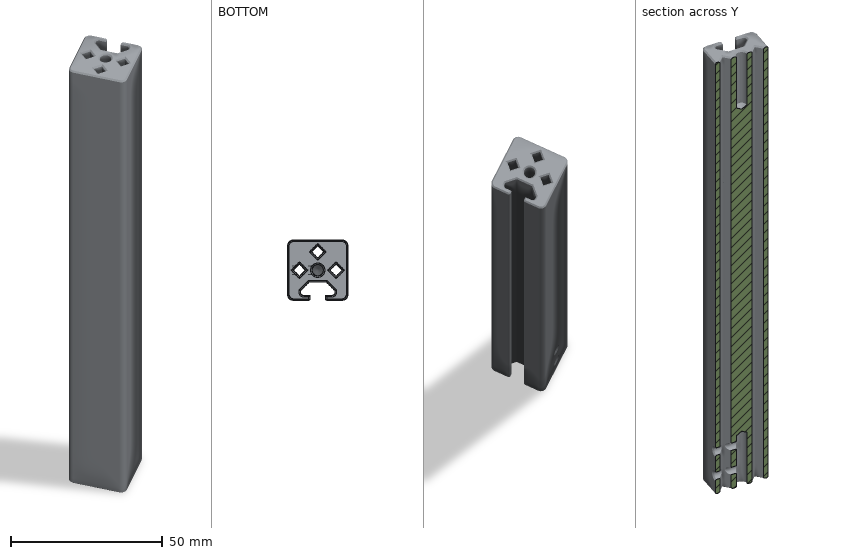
import cadquery as cq
import math

LENGTH = 178
SIDE = 20.0
CORNER_RADIUS = 2.0
EDGE_BREAK = 0.5

SLOT_OPENING = 5.0
LIP_THICKNESS = 1.6
LIP_ROUNDING = 0.7
CAVITY_WIDTH = 11.4
CAVITY_CORNER_RADIUS = 1.0
CAVITY_WALL_DEPTH = 3.2
SLOT_DEPTH = 6.0

DIAMOND_DIAGONAL = 4.1
DIAMOND_OFFSET = 6.0

CORE_DIAMETER = 3.7
CORE_DEPTH = 21.4
DRILL_POINT_ANGLE = 118

CROSS_HOLE_DIAMETER = 2.8
CROSS_HOLE_HEIGHTS = (7.5, 17.5)

HALF_SIDE = SIDE / 2


def bar():
    return cq.Workplane("XY").rect(SIDE, SIDE).extrude(LENGTH).edges("|Z").fillet(CORNER_RADIUS)


def round_edge_pair(solid, x, y, radius):
    """Fillet the two full-length edges at (-x, y) and (x, y)."""
    for edge_x in (-x, x):
        edge_middle = cq.selectors.NearestToPointSelector((edge_x, y, LENGTH / 2))
        solid = solid.edges(edge_middle).fillet(radius)
    return solid


def slot():
    """T-slot with a roof rounded into its walls and 45 degree flanks down to the floor."""
    half_opening = SLOT_OPENING / 2
    half_cavity = CAVITY_WIDTH / 2
    half_floor = half_cavity - (SLOT_DEPTH - CAVITY_WALL_DEPTH)
    roof = HALF_SIDE - LIP_THICKNESS
    right_side = [
        (half_opening, HALF_SIDE),
        (half_opening, roof),
        (half_cavity, roof),
        (half_cavity, HALF_SIDE - CAVITY_WALL_DEPTH),
        (half_floor, HALF_SIDE - SLOT_DEPTH),
    ]
    left_side = [(-x, y) for x, y in reversed(right_side)]
    solid = cq.Workplane("XY").polyline(right_side + left_side).close().extrude(LENGTH)
    return round_edge_pair(solid, half_cavity, roof, CAVITY_CORNER_RADIUS)


def diamond_channels():
    centers = [(-DIAMOND_OFFSET, 0), (DIAMOND_OFFSET, 0), (0, -DIAMOND_OFFSET)]
    return cq.Workplane("XY").pushPoints(centers).polygon(4, DIAMOND_DIAGONAL).extrude(LENGTH)


def core_hole():
    """Hole rising from the bottom end, closed by a drill point."""
    radius = CORE_DIAMETER / 2
    tip = CORE_DEPTH + radius / math.tan(math.radians(DRILL_POINT_ANGLE / 2))
    profile = [(0, 0), (radius, 0), (radius, CORE_DEPTH), (0, tip)]
    return cq.Workplane("XZ").polyline(profile).close().revolve(360, (0, 0), (0, 1))


def cross_hole(height):
    """Hole from the -X face to the bar axis, with a countersunk mouth."""
    radius = CROSS_HOLE_DIAMETER / 2
    profile = [
        (-HALF_SIDE, 0),
        (-HALF_SIDE, radius + EDGE_BREAK),
        (-HALF_SIDE + EDGE_BREAK, radius),
        (0, radius),
        (0, 0),
    ]
    hole = cq.Workplane("XZ").polyline(profile).close().revolve(360, (0, 0), (1, 0))
    return hole.translate((0, 0, height))


bottom_core = core_hole()
top_core = bottom_core.mirror("XY").translate((0, 0, LENGTH))

result = round_edge_pair(bar().cut(slot()), SLOT_OPENING / 2, HALF_SIDE, LIP_ROUNDING)
result = result.cut(diamond_channels()).cut(bottom_core).cut(top_core)
result = result.faces("<Z or >Z").chamfer(EDGE_BREAK)
for height in CROSS_HOLE_HEIGHTS:
    result = result.cut(cross_hole(height))